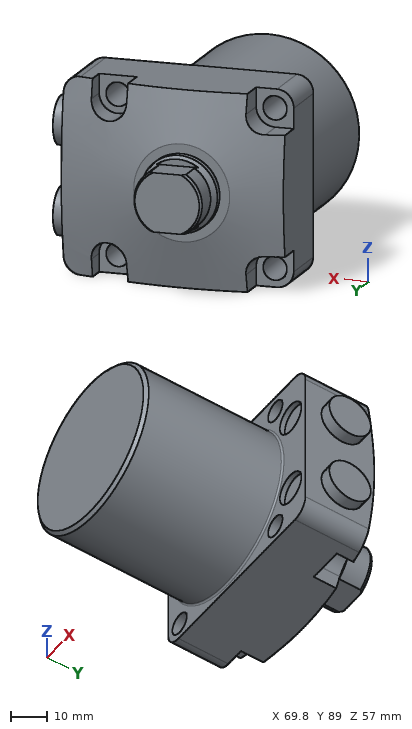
import cadquery as cq
import math


OVERALL_LENGTH = 89.0

BLOCK_HEIGHT = 57.0
BLOCK_HALF = BLOCK_HEIGHT / 2
BLOCK_RIGHT = 37.5
BLOCK_WIDTH = BLOCK_HALF + BLOCK_RIGHT
BLOCK_DEPTH = 30.0
CORNER_RADIUS = 5.0

CONE_FLAT_RADIUS = 14.1
CONE_ANGLE = 15.6
CONE_RADIUS = 53.4

BARREL_RADIUS = 26.5
BARREL_LENGTH = 46.55
BARREL_CHAMFER = 1.1
BARREL_FILLET = 0.5

BOLT_SPACING = 46.0
BOLT_OFFSET = BOLT_SPACING / 2
BOLT_DIAMETER = 6.9
SEAT_RADIUS = 5.5
SEAT_LEVEL = 17.0

PORT_X = 30.35
PORT_Z = 14.0
PORT_RADIUS = 5.2
PORT_DEPTH = 1.7

FITTING_RADIUS = 7.0
FITTING_LENGTH = 3.8
FITTING_Y = 12.5
FITTING_Z = 13.0

ROD_LENGTH = OVERALL_LENGTH - BARREL_LENGTH - BLOCK_DEPTH
ROD_RADIUS = 10.0
COLLAR_RADIUS = 11.2
COLLAR_HEIGHT = 2.05
TAPER_ANGLE = 30.0
TIP_CHAMFER = 0.5
FLAT_DISTANCE = 17.0
FLAT_START = 3.4


def revolved(profile):
    """Revolve a closed (Y, radius) profile about the Y axis."""
    return profile.close().revolve(360, (0, 0), (1, 0))


def along_y(start):
    """Workplane at Y = start with local axes X and Z; negative extrusions run toward +Y."""
    return cq.Workplane("XZ", origin=(0, start, 0))


def make_block():
    center_x = (BLOCK_RIGHT - BLOCK_HALF) / 2
    prism = (
        along_y(0)
        .center(center_x, 0)
        .rect(BLOCK_WIDTH, BLOCK_HEIGHT)
        .extrude(-BLOCK_DEPTH)
        .edges("|Y")
        .fillet(CORNER_RADIUS)
    )
    rim_y = BLOCK_DEPTH - (CONE_RADIUS - CONE_FLAT_RADIUS) * math.tan(math.radians(CONE_ANGLE))
    cone = revolved(
        cq.Workplane("YZ")
        .lineTo(0, CONE_RADIUS)
        .lineTo(rim_y, CONE_RADIUS)
        .lineTo(BLOCK_DEPTH, CONE_FLAT_RADIUS)
        .lineTo(BLOCK_DEPTH, 0)
    )
    return prism.intersect(cone)


def make_barrel():
    chamfer_y = BARREL_CHAMFER - BARREL_LENGTH
    fillet_mid = BARREL_FILLET * (1 - math.sqrt(0.5))
    return revolved(
        cq.Workplane("YZ")
        .moveTo(-BARREL_LENGTH, 0)
        .lineTo(-BARREL_LENGTH, BARREL_RADIUS - BARREL_CHAMFER)
        .lineTo(chamfer_y, BARREL_RADIUS)
        .lineTo(-BARREL_FILLET, BARREL_RADIUS)
        .threePointArc(
            (-fillet_mid, BARREL_RADIUS + fillet_mid),
            (0, BARREL_RADIUS + BARREL_FILLET),
        )
        .lineTo(0, 0)
    )


def make_seat(x, z):
    """Rear seat of one bolt, open to the nearest Z side and, on the -X side, to the corner too."""
    depth = SEAT_LEVEL - BLOCK_DEPTH
    outward = math.copysign(BLOCK_HALF, z)
    seat = along_y(SEAT_LEVEL).center(x, z).circle(SEAT_RADIUS).extrude(depth)
    slot = along_y(SEAT_LEVEL).center(x, z + outward / 2).rect(2 * SEAT_RADIUS, BLOCK_HALF).extrude(depth)
    seat = seat.union(slot)
    if x < 0:
        side_slot = (
            along_y(SEAT_LEVEL).center(x - BLOCK_HALF / 2, z).rect(BLOCK_HALF, 2 * SEAT_RADIUS).extrude(depth)
        )
        seat = seat.union(side_slot)
    return seat


def make_housing():
    housing = make_block().union(make_barrel())
    bolt_points = [(x, z) for x in (-BOLT_OFFSET, BOLT_OFFSET) for z in (-BOLT_OFFSET, BOLT_OFFSET)]
    holes = along_y(0).pushPoints(bolt_points).circle(BOLT_DIAMETER / 2).extrude(-BLOCK_DEPTH)
    housing = housing.cut(holes)
    for x, z in bolt_points:
        housing = housing.cut(make_seat(x, z))
    port_points = [(PORT_X, PORT_Z), (PORT_X, -PORT_Z)]
    ports = along_y(0).pushPoints(port_points).circle(PORT_RADIUS).extrude(-PORT_DEPTH)
    return housing.cut(ports)


def make_rod():
    """Rod end with a tapered collar and two wrench flats, standing on the rear of the block."""
    slope = math.tan(math.radians(TAPER_ANGLE))
    taper_top = COLLAR_HEIGHT + (COLLAR_RADIUS - ROD_RADIUS) / slope
    rod = revolved(
        cq.Workplane("YZ", origin=(0, BLOCK_DEPTH, 0))
        .lineTo(0, COLLAR_RADIUS)
        .lineTo(COLLAR_HEIGHT, COLLAR_RADIUS)
        .lineTo(taper_top, ROD_RADIUS)
        .lineTo(ROD_LENGTH - TIP_CHAMFER / slope, ROD_RADIUS)
        .lineTo(ROD_LENGTH, ROD_RADIUS - TIP_CHAMFER)
        .lineTo(ROD_LENGTH, 0)
    )
    for side in (-1, 1):
        flat = (
            along_y(BLOCK_DEPTH + FLAT_START)
            .center(0, side * (FLAT_DISTANCE / 2 + COLLAR_RADIUS / 2))
            .rect(2 * COLLAR_RADIUS, COLLAR_RADIUS)
            .extrude(-ROD_LENGTH)
        )
        rod = rod.cut(flat)
    return rod


def make_fitting(z):
    return (
        cq.Workplane("YZ", origin=(BLOCK_RIGHT, FITTING_Y, z))
        .circle(FITTING_RADIUS)
        .extrude(FITTING_LENGTH)
    )


housing = make_housing()
rod = make_rod()
fittings = [make_fitting(side * FITTING_Z) for side in (-1, 1)]

result = cq.Compound.makeCompound([housing.val(), rod.val(), *[fitting.val() for fitting in fittings]])